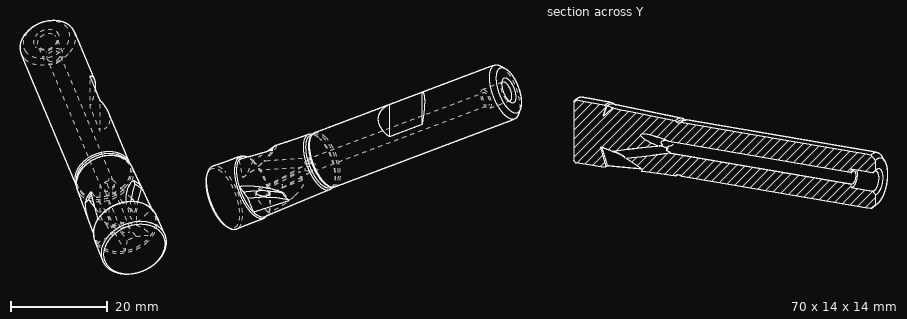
import cadquery as cq
import math

total_length = 70.0
rear_chamfer_length = 1.05
rear_taper_end = 2.2
groove_start = 45.0
groove_end = 46.4
groove_wall_length = 0.35
neck_end = 62.45
collar_start = 62.8
collar_chamfer_end = 63.15
front_chamfer = 0.4

shank_radius = 6.0
rear_face_radius = 5.0
rear_taper_radius = 5.95
groove_radius = 5.8
neck_rear_radius = 6.15
neck_front_radius = 6.65
collar_rear_radius = 6.85
collar_chamfer_radius = 6.9
collar_radius = 7.0

flat_start = 18.5
flat_end = 26.5
flat_height = 4.35
flat_cutter_height = 3.5

bore_mouth_radius = 2.7
bore_entry_radius = 2.1
bore_entry_depth = 5.6
bore_radius = 1.4
bore_depth = 49.0
bore_tip_length = bore_radius / math.tan(math.radians(60))

pocket_count = 3
pocket_angle = 30.0
pocket_length = 8.2
pocket_rear_height = 6.15
pocket_front_height = 2.9
pocket_cutter_radius = 28.0
pocket_skew_angle = 6.0
pocket_wall = 0.1
pocket_crease = 2.0
pocket_crease_depth = 0.3
pocket_side = 6.65
pocket_side_rise = 1.05
pocket_undercut = 2.1

outlet_radius = 0.9
outlet_x = 59.9
outlet_height = 3.65
outlet_side = 1.05
outlet_start_x = 46.2
outlet_overrun = 2.1


def turned_body():
    """Shank, relief groove, tapered neck and collar as one revolved outline."""
    outline = [
        (0, 0),
        (0, rear_face_radius),
        (rear_chamfer_length, rear_taper_radius),
        (rear_taper_end, shank_radius),
        (groove_start, shank_radius),
        (groove_start + groove_wall_length, groove_radius),
        (groove_end - groove_wall_length, groove_radius),
        (groove_end, neck_rear_radius),
        (neck_end, neck_front_radius),
        (collar_start, collar_rear_radius),
        (collar_chamfer_end, collar_chamfer_radius),
        (total_length - front_chamfer, collar_radius),
        (total_length, collar_radius - front_chamfer),
        (total_length, 0),
    ]
    return cq.Workplane("XY").polyline(outline).close().revolve(360, (0, 0, 0), (1, 0, 0))


def clamping_flat():
    """Block with 45 degree ends that cuts the flat."""
    outline = [
        (flat_start, flat_height),
        (flat_end, flat_height),
        (flat_end + flat_cutter_height, flat_height + flat_cutter_height),
        (flat_start - flat_cutter_height, flat_height + flat_cutter_height),
    ]
    return cq.Workplane("XY").polyline(outline).close().extrude(collar_radius, both=True)


def coolant_bore():
    """Countersunk stepped bore with a conical drill tip."""
    countersink_depth = bore_mouth_radius - bore_entry_radius
    outline = [
        (0, 0),
        (0, bore_mouth_radius),
        (countersink_depth, bore_entry_radius),
        (bore_entry_depth, bore_entry_radius),
        (bore_entry_depth, bore_radius),
        (bore_depth, bore_radius),
        (bore_depth + bore_tip_length, 0),
    ]
    return cq.Workplane("XY").polyline(outline).close().revolve(360, (0, 0, 0), (1, 0, 0))


def chip_pocket():
    """Slanted concave pocket with its radial direction along +Y."""
    drop = pocket_rear_height - pocket_front_height
    chord = math.hypot(pocket_length, drop)
    centre_offset = math.sqrt(pocket_cutter_radius**2 - (chord / 2)**2)
    centre_x = neck_end - pocket_length / 2 + centre_offset * drop / chord
    centre_y = (pocket_rear_height + pocket_front_height) / 2 + centre_offset * pocket_length / chord

    disc_profile = [
        (0, pocket_wall),
        (pocket_cutter_radius, pocket_wall),
        (pocket_cutter_radius + pocket_crease_depth, pocket_crease),
        (pocket_cutter_radius - pocket_side_rise, pocket_side),
        (0, pocket_side),
    ]
    disc = (
        cq.Workplane("XZ")
        .polyline(disc_profile)
        .close()
        .revolve(360, (0, 0, 0), (0, 1, 0))
        .translate((centre_x, centre_y, 0))
        .rotate((neck_end, 0, 0), (neck_end, 1, 0), -pocket_skew_angle)
    )
    pocket_start = neck_end - pocket_length
    limits = [
        (pocket_start, 0),
        (neck_end + pocket_undercut, 0),
        (neck_end, neck_front_radius),
        (neck_end, pocket_cutter_radius),
        (pocket_start, pocket_cutter_radius),
    ]
    envelope = cq.Workplane("XY").polyline(limits).close().revolve(360, (0, 0, 0), (1, 0, 0))
    return disc.intersect(envelope)


def coolant_outlet():
    """Inclined hole from the central bore to the pocket floor."""
    start = cq.Vector(outlet_start_x, 0, 0)
    path = cq.Vector(outlet_x, outlet_height, outlet_side) - start
    return cq.Workplane(cq.Solid.makeCylinder(outlet_radius, path.Length + outlet_overrun, start, path))


result = turned_body().cut(clamping_flat()).cut(coolant_bore())

for index in range(pocket_count):
    angle = pocket_angle + index * 360 / pocket_count
    for cutter in (chip_pocket(), coolant_outlet()):
        result = result.cut(cutter.rotate((0, 0, 0), (1, 0, 0), angle))